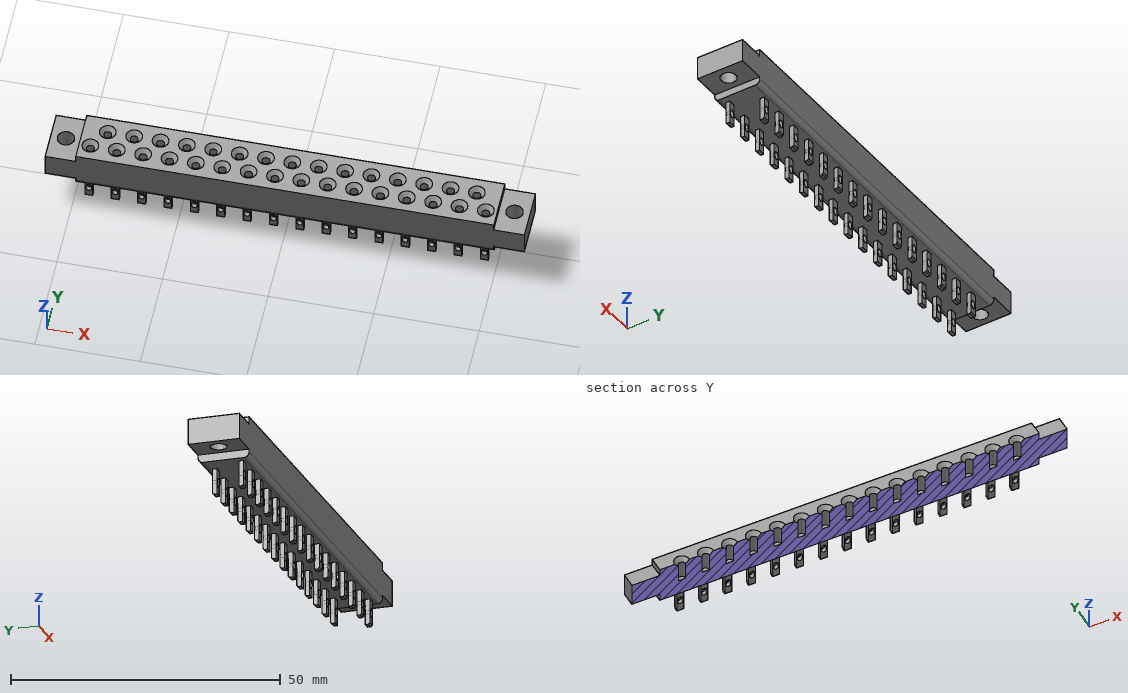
import cadquery as cq

overall_length = 90.8
width = 10.0
overall_height = 13.0
pin_length = 5.0
ear_length = 5.8
ear_top_drop = 1.45
ear_height = 5.0
bottom_edge_radius = 1.0
mounting_hole_diameter = 3.2

body_length = overall_length - 2 * ear_length
body_height = overall_height - pin_length
body_bottom = pin_length
ear_bottom = overall_height - ear_top_drop - ear_height
mounting_hole_spacing = overall_length - ear_length

contact_pitch = 5.0
front_contact_count = 16
back_contact_count = front_contact_count - 1

socket_row_offset = 1.9
socket_mouth_diameter = 3.1
socket_bore_diameter = 1.45
lead_in_depth = 0.8
socket_depth = 4.5

pin_row_offset = 3.0
pin_width = 1.45
pin_thickness = 0.9
pin_tip_chamfer = 0.3
eyelet_width = 1.0
eyelet_height = 1.6
eyelet_center_height = 2.45


def row_positions(count, row_y):
    """Contact centers of one row, centered along the length of the housing."""
    first_x = -contact_pitch * (count - 1) / 2
    return [(first_x + index * contact_pitch, row_y) for index in range(count)]


def front_row(row_offset):
    return row_positions(front_contact_count, -row_offset)


def back_row(row_offset):
    return row_positions(back_contact_count, row_offset)


def place_row(shape, positions):
    """Copies of a shape at the given positions."""
    return cq.Workplane("XY").pushPoints(positions).eachpoint(lambda place: shape.moved(place))


def make_housing():
    body = (
        cq.Workplane("XY", origin=(0, 0, body_bottom))
        .box(body_length, width, body_height, centered=(True, True, False))
        .faces("<Z")
        .edges("|X")
        .fillet(bottom_edge_radius)
    )
    ears = cq.Workplane("XY", origin=(0, 0, ear_bottom)).box(
        overall_length, width, ear_height, centered=(True, True, False)
    )
    mounting_holes = (
        cq.Workplane("XY", origin=(0, 0, ear_bottom))
        .rarray(mounting_hole_spacing, 0.9, 2, 1)
        .circle(mounting_hole_diameter / 2)
        .extrude(ear_height)
    )
    return body.union(ears).cut(mounting_holes)


def make_sockets():
    lead_in = cq.Solid.makeCone(
        socket_bore_diameter / 2,
        socket_mouth_diameter / 2,
        lead_in_depth,
        pnt=cq.Vector(0, 0, overall_height - lead_in_depth),
    )
    bore = cq.Solid.makeCylinder(
        socket_bore_diameter / 2,
        socket_depth,
        pnt=cq.Vector(0, 0, overall_height - socket_depth),
    )
    socket = bore.fuse(lead_in)
    return place_row(socket, front_row(socket_row_offset) + back_row(socket_row_offset))


def make_pins():
    blank = (
        cq.Workplane("XY")
        .box(pin_width, pin_thickness, pin_length, centered=(True, True, False))
        .faces("<Z")
        .edges("<Y")
        .chamfer(pin_tip_chamfer)
    )
    eyelet = (
        cq.Workplane("XZ", origin=(0, 0, eyelet_center_height))
        .slot2D(eyelet_height, eyelet_width, 90)
        .extrude(pin_thickness, both=True)
    )
    front_pin = blank.cut(eyelet).val()
    back_pin = front_pin.rotate((0, 0, 0), (0, 0, 1), 180)
    front_pins = place_row(front_pin, front_row(pin_row_offset))
    back_pins = place_row(back_pin, back_row(pin_row_offset))
    return front_pins.add(back_pins).combine()


result = make_housing().cut(make_sockets()).union(make_pins())